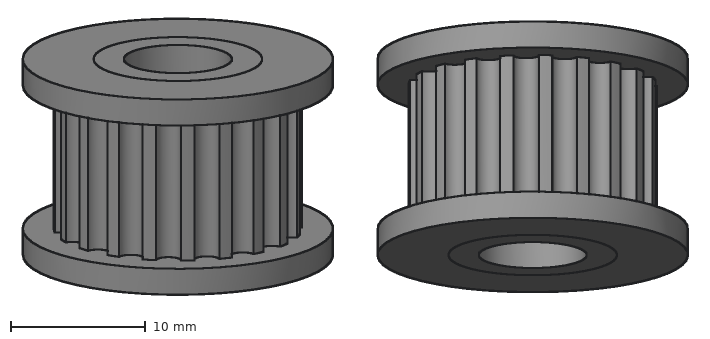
import cadquery as cq
import math

flange_diameter = 23.0
flange_thickness = 2.0
total_height = 15.0
flange_radius = flange_diameter / 2
belt_width = total_height - 2 * flange_thickness

tooth_count = 20
drum_diameter = 18.4
drum_radius = drum_diameter / 2
groove_width = 1.89
groove_depth = groove_width / 2
tooth_pitch_angle = 360 / tooth_count

bushing_diameter = 12.5
bore_diameter = 8.0


def make_groove_cutter():
    """Round-bottomed groove along the drum, open outwards towards +X."""
    half_width = groove_width / 2
    mouth_x = math.sqrt(drum_radius**2 - half_width**2)
    return (
        cq.Workplane("XY")
        .moveTo(flange_radius, -half_width)
        .lineTo(mouth_x, -half_width)
        .threePointArc((mouth_x - groove_depth, 0), (mouth_x, half_width))
        .lineTo(flange_radius, half_width)
        .close()
        .extrude(belt_width / 2, both=True)
    )


def make_toothed_drum():
    """Drum with a tooth centred on each of the X and Y axes."""
    drum = cq.Workplane("XY").circle(drum_radius).extrude(belt_width / 2, both=True)
    groove = make_groove_cutter()
    for index in range(tooth_count):
        angle = (index + 0.5) * tooth_pitch_angle
        drum = drum.cut(groove.rotate((0, 0, 0), (0, 0, 1), angle))
    return drum


def make_flange(bottom_z):
    """Plain disc that guides one edge of the belt."""
    return cq.Workplane("XY").workplane(offset=bottom_z).circle(flange_radius).extrude(flange_thickness)


def make_pulley():
    """Toothed drum between two flanges, with a through hole for the bushing."""
    upper_flange = make_flange(belt_width / 2)
    lower_flange = make_flange(-total_height / 2)
    bushing_hole = cq.Workplane("XY").circle(bushing_diameter / 2).extrude(total_height / 2, both=True)
    return make_toothed_drum().union(upper_flange).union(lower_flange).cut(bushing_hole)


def make_bushing():
    """Plain sleeve, flush with both outer flange faces."""
    return (
        cq.Workplane("XY")
        .circle(bushing_diameter / 2)
        .circle(bore_diameter / 2)
        .extrude(total_height / 2, both=True)
    )


pulley = make_pulley()
bushing = make_bushing()

result = cq.Compound.makeCompound([pulley.val(), bushing.val()])